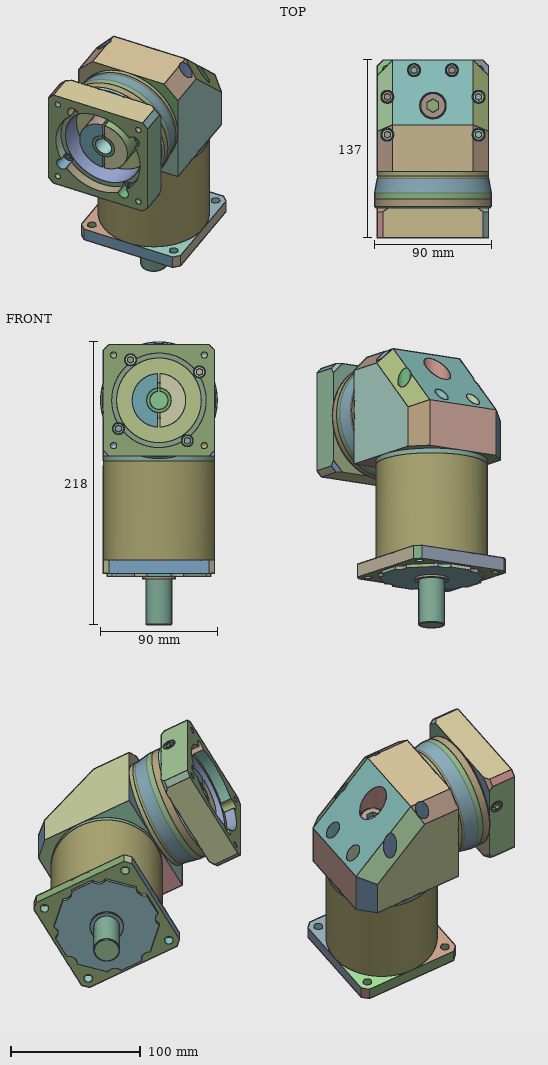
import cadquery as cq
import math


square_size = 86.0
half_square = square_size / 2
housing_bevel = 50.0
housing_chamfer = 12.0
round_radius = half_square
input_stub_end = 46.2
output_stub_end = 46.7

screw_circle_radius = 38.05
screw_head_radius = 4.1
screw_head_height = 4.0
screw_socket_width = 4.5
screw_socket_depth = 2.0
housing_sink_radius = 5.0
housing_sink_floor = -32.7
housing_screw_angles = [-22.5 + 45 * i for i in range(6)]

plug_offset = 7.8
plug_rim_radius = 10.2
plug_radius = 9.4
plug_floor = 13.0
plug_groove_depth = 0.9
plug_socket_width = 9.0
plug_socket_depth = 4.4

flange_top = 123.0
flange_bottom = 133.2
flange_corner_cut = 4.5
flange_hole_spacing = 70.6
flange_hole_radius = 3.3
boss_bottom = 135.8
boss_half_width = 40.0
boss_tab_half_width = 9.2
boss_lobe_near = 18.7
boss_lobe_far = 36.2
boss_corner_near = 20.7
boss_corner_far = 34.0
scallop_bulge = 2.6

shaft_radius = 10.0
shaft_end = 172.98
shaft_end_chamfer = 0.7
shaft_collar_radius = 12.9
shaft_collar_bottom = 137.5
shaft_top = flange_top

neck_radius = 45.02
taper_start = 48.2
taper_end = 59.3
neck_end = 63.9
spigot_end = 66.7

plate_front = 94.0
plate_back = 71.0
plate_rim_chamfer = 1.3
plate_corner_cut = 4.4
plate_back_corner_chamfer = 2.8
pilot_radius = 36.5
pilot_depth = 8.5
cavity_radius = 32.6
plate_hole_spacing = 69.8
plate_hole_radius = 2.5
plate_hole_depth = 11.0
drill_point_angle = 118
plate_sink_radius = 4.5
plate_sink_depth = 15.3
plate_screw_angles = [35 + 90 * i for i in range(4)]

side_plug_y = -77.8
side_plug_z = 14.4
side_plug_radius = 5.0
side_plug_drop = 0.7
side_plug_socket_width = 6.0
side_plug_socket_depth = 3.0

hub_front = 84.5
hub_back = 63.9
hub_radius = 20.6
hub_neck_radius = 13.5
hub_slot_width = 2.0
bushing_radius = 9.48
bushing_bore_radius = 7.0


def cylinder_down(radius, top, bottom):
    """Cylinder on the output axis; top and bottom are distances below the origin."""
    return cq.Workplane("XY").workplane(offset=-bottom).circle(radius).extrude(bottom - top)


def cylinder_forward(radius, back, front):
    """Cylinder on the input axis; back and front are distances toward -Y."""
    return cq.Workplane("XZ").workplane(offset=back).circle(radius).extrude(front - back)


def cut_corner_square(plane, start, end, corner_cut):
    """Square block with its four corners cut off, from start to end along the plane normal."""
    block = cq.Workplane(plane).workplane(offset=start).rect(square_size, square_size)
    block = block.extrude(end - start)
    return block.edges("|Z" if plane == "XY" else "|Y").chamfer(corner_cut)


def disc(radius, height):
    """Disc standing on the XY plane."""
    return cq.Workplane("XY").circle(radius).extrude(height)


def hexagon(width, height):
    """Hexagonal prism standing on the XY plane, with two of its flats facing -X and +X."""
    prism = cq.Workplane("XY").polygon(6, width / math.cos(math.pi / 6)).extrude(height)
    return prism.rotate((0, 0, 0), (0, 0, 1), 30)


def sunk_screw(sink_radius, sink_height):
    """Cutter for a screw sink along +Z with floor at Z = 0, leaving the socket head standing."""
    sink = disc(sink_radius, sink_height)
    head = disc(screw_head_radius, screw_head_height)
    socket = hexagon(screw_socket_width, screw_socket_depth)
    return sink.cut(head).union(socket.translate((0, 0, screw_head_height - screw_socket_depth)))


def make_angle_housing():
    profile = [
        (-half_square, -half_square),
        (half_square, -half_square),
        (half_square, half_square - housing_bevel),
        (half_square - housing_bevel, half_square),
        (-half_square, half_square),
    ]
    block = cq.Workplane("YZ").workplane(offset=-half_square).polyline(profile).close()
    block = block.extrude(square_size)
    block = block.faces("<X or >X").edges(">Z or >Y or >(0, 1, 1)").chamfer(housing_chamfer)
    block = block.union(cylinder_down(round_radius, half_square, output_stub_end))
    block = block.union(cylinder_forward(round_radius, half_square, input_stub_end))

    sink = sunk_screw(housing_sink_radius, half_square - housing_sink_floor)
    for angle in housing_screw_angles:
        x = screw_circle_radius * math.cos(math.radians(angle))
        y = screw_circle_radius * math.sin(math.radians(angle))
        block = block.cut(sink.translate((x, y, housing_sink_floor)))

    return block.cut(plug_sink().translate((0, plug_offset, plug_floor)))


def plug_sink():
    """Cutter for the plug sink with the plug top at Z = 0, a groove round it and its socket below."""
    sink = disc(plug_rim_radius, half_square - plug_floor)
    groove = disc(plug_rim_radius, plug_groove_depth).cut(disc(plug_radius, plug_groove_depth))
    socket = hexagon(plug_socket_width, plug_socket_depth)
    sink = sink.union(groove.translate((0, 0, -plug_groove_depth)))
    return sink.union(socket.translate((0, 0, -plug_socket_depth)))


def make_boss():
    """Locating boss under the flange: cut-corner square with a scallop on each side of each corner."""
    tab = (boss_tab_half_width, boss_half_width)
    lobe = (boss_lobe_near, boss_lobe_far)
    chord = (lobe[0] - tab[0], lobe[1] - tab[1])
    length = math.hypot(*chord)
    scallop = (
        (tab[0] + lobe[0]) / 2 + chord[1] / length * scallop_bulge,
        (tab[1] + lobe[1]) / 2 - chord[0] / length * scallop_bulge,
    )
    corner = (boss_corner_near, boss_corner_far)

    def turned(point, quarter):
        x, y = point
        for _ in range(quarter):
            x, y = y, -x
        return (x, y)

    def mirrored(point):
        return (point[1], point[0])

    outline = cq.Workplane("XY").workplane(offset=-boss_bottom).moveTo(-tab[0], tab[1])
    for quarter in range(4):
        outline = (
            outline.lineTo(*turned(tab, quarter))
            .threePointArc(turned(scallop, quarter), turned(lobe, quarter))
            .lineTo(*turned(corner, quarter))
            .lineTo(*turned(mirrored(corner), quarter))
            .lineTo(*turned(mirrored(lobe), quarter))
            .threePointArc(turned(mirrored(scallop), quarter), turned(mirrored(tab), quarter))
        )
    return outline.close().extrude(boss_bottom - flange_bottom)


def make_gear_unit():
    barrel = cylinder_down(round_radius, output_stub_end, flange_top)
    flange = cut_corner_square("XY", -flange_bottom, -flange_top, flange_corner_cut)
    holes = (
        cq.Workplane("XY")
        .workplane(offset=-flange_bottom)
        .rect(flange_hole_spacing, flange_hole_spacing, forConstruction=True)
        .vertices()
        .circle(flange_hole_radius)
        .extrude(flange_bottom - flange_top)
    )
    shaft_seat = cylinder_down(shaft_radius, shaft_top, boss_bottom)
    return barrel.union(flange.cut(holes)).union(make_boss()).cut(shaft_seat)


def make_output_shaft():
    shaft = cylinder_down(shaft_radius, shaft_top, shaft_end).faces("<Z").chamfer(shaft_end_chamfer)
    return shaft.union(cylinder_down(shaft_collar_radius, boss_bottom, shaft_collar_bottom))


def make_input_neck():
    profile = [
        (0, -input_stub_end),
        (round_radius, -input_stub_end),
        (round_radius, -taper_start),
        (neck_radius, -taper_end),
        (neck_radius, -neck_end),
        (0, -neck_end),
    ]
    neck = cq.Workplane("XY").polyline(profile).close().revolve(360, (0, 0, 0), (0, 1, 0))
    spigot = cylinder_forward(cavity_radius, neck_end, spigot_end)
    hub_seat = cylinder_forward(hub_neck_radius, hub_back, spigot_end)
    return neck.union(spigot).cut(hub_seat)


def make_motor_plate():
    rim = cylinder_forward(neck_radius, neck_end, plate_back).faces("<Y").chamfer(plate_rim_chamfer)
    square = cut_corner_square("XZ", plate_back, plate_front, plate_corner_cut)
    square = square.faces(">Y").edges("not (|X or |Z)").chamfer(plate_back_corner_chamfer)
    plate = rim.union(square)
    plate = plate.cut(cylinder_forward(pilot_radius, plate_front - pilot_depth, plate_front))
    plate = plate.cut(cylinder_forward(cavity_radius, neck_end, plate_front))

    sink = sunk_screw(plate_sink_radius, plate_sink_depth).rotate((0, 0, 0), (1, 0, 0), 90)
    for angle in plate_screw_angles:
        x = screw_circle_radius * math.cos(math.radians(angle))
        z = screw_circle_radius * math.sin(math.radians(angle))
        plate = plate.cut(sink.translate((x, plate_sink_depth - plate_front, z)))

    point_depth = plate_hole_radius / math.tan(math.radians(drill_point_angle / 2))
    drill_profile = [
        (0, 0),
        (plate_hole_radius, 0),
        (plate_hole_radius, plate_hole_depth),
        (0, plate_hole_depth + point_depth),
    ]
    drill = cq.Workplane("XY").polyline(drill_profile).close().revolve(360, (0, 0, 0), (0, 1, 0))
    for x in (-plate_hole_spacing / 2, plate_hole_spacing / 2):
        for z in (-plate_hole_spacing / 2, plate_hole_spacing / 2):
            plate = plate.cut(drill.translate((x, -plate_front, z)))

    return plate.cut(side_plug_recess())


def side_plug_recess():
    """Cutter that leaves the plug just below the plate side, with a hexagon socket in it."""
    side = cq.Workplane("YZ").workplane(offset=-half_square).center(side_plug_y, side_plug_z)
    rim = side.circle(side_plug_radius).extrude(side_plug_drop)
    socket = hexagon(side_plug_socket_width, side_plug_socket_depth)
    socket = socket.rotate((0, 0, 0), (0, 0, 1), 90).rotate((0, 0, 0), (0, 1, 0), 90)
    return rim.union(socket.translate((-half_square, side_plug_y, side_plug_z)))


def make_clamping_hub():
    collar = cylinder_forward(hub_radius, spigot_end, hub_front)
    slot = (
        cq.Workplane("XZ")
        .workplane(offset=spigot_end)
        .rect(hub_slot_width, 2 * hub_radius)
        .extrude(hub_front - spigot_end)
    )
    hub = collar.cut(slot).union(cylinder_forward(hub_neck_radius, hub_back, spigot_end))
    return hub.cut(cylinder_forward(bushing_radius, hub_back, hub_front))


def make_bushing():
    sleeve = cylinder_forward(bushing_radius, hub_back, hub_front)
    sleeve = sleeve.cut(cylinder_forward(bushing_bore_radius, hub_back, hub_front))
    slot = (
        cq.Workplane("XZ")
        .workplane(offset=hub_back)
        .center(0, bushing_radius / 2)
        .rect(hub_slot_width, bushing_radius)
        .extrude(hub_front - hub_back)
    )
    return sleeve.cut(slot)


angle_housing = make_angle_housing()
gear_unit = make_gear_unit()
output_shaft = make_output_shaft()
input_neck = make_input_neck()
motor_plate = make_motor_plate()
clamping_hub = make_clamping_hub()
bushing = make_bushing()

result = cq.Compound.makeCompound(
    [
        angle_housing.val(),
        gear_unit.val(),
        output_shaft.val(),
        input_neck.val(),
        motor_plate.val(),
        clamping_hub.val(),
        bushing.val(),
    ]
)